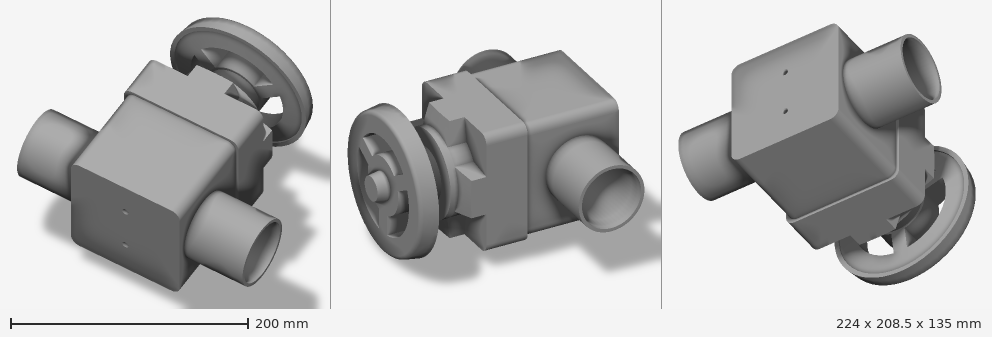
import cadquery as cq
import math


PIPE_LENGTH = 224.0
PIPE_RADIUS = 31.5
BORE_RADIUS = 28.5
WEIR_THICKNESS = 6.7

BODY_SIDE = 108.0
BODY_BOTTOM = -38.5
BONNET_SIDE = 113.8
BONNET_BOTTOM = 50.6
CORNER_RADIUS = 8.5
SCREW_SPACING = 44.4
SCREW_RADIUS = 2.2
SCREW_MOUTH_RADIUS = 3.1
SCREW_DEPTH = 11.2

ARM_BASE = 90.3
ARM_EDGE_TOP = 105.0
CORE_TOP = 108.6
CORE_RADIUS = 40.5
ARM_TIP_WIDTH = 36.3
ARM_TAPER = 9.0

COLLAR_TOP = 115.8
COLLAR_RADIUS = 41.0
STEM_RADIUS = 24.5

WHEEL_DIAMETER = 135.0
WHEEL_RADIUS = WHEEL_DIAMETER / 2
WHEEL_BOTTOM = 141.3
WHEEL_TOP = 158.5
WHEEL_DRAFT = 9.0
WHEEL_ROUND = 3.8
LIP_WIDTH = 4.3
HUB_BOTTOM = 136.0
HUB_RADIUS = 26.9
WEB_SLOPE = 11.3
WINDOW_RADIUS = 45.7
SPOKE_WIDTH = 13.5
SPOKE_ANGLES = (30, 150, 270)

KNOB_TOP = 170.0
KNOB_BOTTOM_RADIUS = 13.2
KNOB_TOP_RADIUS = 11.5


def across_y(y):
    """Workplane normal to +Y at height y, with its local x along +X."""
    return cq.Workplane("XZ", origin=(0, y, 0))


def rounded_block(side, bottom, top):
    block = across_y(bottom).rect(side, side).extrude(bottom - top)
    return block.edges("|Y").fillet(CORNER_RADIUS)


def cylinder(radius, bottom, top):
    return across_y(bottom).circle(radius).extrude(bottom - top)


def revolved(points):
    """Solid of revolution about Y from (radius, height) points."""
    return cq.Workplane("XY").polyline(points).close().revolve(360, (0, 0), (0, 1))


def arms():
    tip = BONNET_SIDE / 2
    tip_half = ARM_TIP_WIDTH / 2
    root_half = tip_half + tip * math.tan(math.radians(ARM_TAPER))
    outline = [(0, -root_half), (tip, -tip_half), (tip, tip_half), (0, root_half)]
    arm = across_y(ARM_BASE).polyline(outline).close().extrude(ARM_BASE - CORE_TOP)
    cross = cylinder(CORE_RADIUS, ARM_BASE, CORE_TOP)
    for angle in range(0, 360, 90):
        cross = cross.union(arm.rotate((0, 0, 0), (0, 1, 0), angle))

    slope = (CORE_TOP - ARM_EDGE_TOP) / (tip - CORE_RADIUS)
    limit_radius = BONNET_SIDE
    limit_height = CORE_TOP - slope * (limit_radius - CORE_RADIUS)
    cone = revolved([
        (0, 0), (limit_radius, 0), (limit_radius, limit_height),
        (CORE_RADIUS, CORE_TOP), (0, CORE_TOP),
    ])
    return cross.intersect(cone)


def wheel():
    top_radius = WHEEL_RADIUS - (WHEEL_TOP - WHEEL_BOTTOM) * math.tan(math.radians(WHEEL_DRAFT))
    lip_radius = WHEEL_RADIUS - LIP_WIDTH
    web_height = HUB_BOTTOM + (lip_radius - HUB_RADIUS) * math.tan(math.radians(WEB_SLOPE))
    disc = revolved([
        (0, HUB_BOTTOM), (HUB_RADIUS, HUB_BOTTOM), (lip_radius, web_height),
        (lip_radius, WHEEL_BOTTOM), (WHEEL_RADIUS, WHEEL_BOTTOM),
        (top_radius, WHEEL_TOP), (0, WHEEL_TOP),
    ])
    disc = disc.faces(">Y").edges().fillet(WHEEL_ROUND)

    height = WHEEL_TOP - HUB_BOTTOM
    windows = cylinder(WINDOW_RADIUS, HUB_BOTTOM, WHEEL_TOP)
    windows = windows.cut(cylinder(HUB_RADIUS, HUB_BOTTOM, WHEEL_TOP))
    for angle in SPOKE_ANGLES:
        spoke = cq.Workplane("XY").box(WHEEL_RADIUS, height, SPOKE_WIDTH, centered=(False, False, True))
        spoke = spoke.translate((0, HUB_BOTTOM, 0)).rotate((0, 0, 0), (0, 1, 0), -angle)
        windows = windows.cut(spoke)
    return disc.cut(windows)


result = rounded_block(BODY_SIDE, BODY_BOTTOM, BONNET_BOTTOM)
result = result.union(rounded_block(BONNET_SIDE, BONNET_BOTTOM, ARM_BASE))
pipe_end = cq.Workplane("YZ", origin=(-PIPE_LENGTH / 2, 0, 0))
result = result.union(pipe_end.circle(PIPE_RADIUS).extrude(PIPE_LENGTH))
result = result.cut(pipe_end.circle(BORE_RADIUS).extrude(PIPE_LENGTH))

weir = (
    cq.Workplane("YZ", origin=(-WEIR_THICKNESS / 2, 0, 0))
    .moveTo(0, PIPE_RADIUS)
    .threePointArc((-PIPE_RADIUS, 0), (0, -PIPE_RADIUS))
    .close()
    .extrude(WEIR_THICKNESS)
)
result = result.union(weir)

for z in (-SCREW_SPACING / 2, SCREW_SPACING / 2):
    hole = cylinder(SCREW_RADIUS, BODY_BOTTOM, BODY_BOTTOM + SCREW_DEPTH)
    mouth_depth = SCREW_MOUTH_RADIUS - SCREW_RADIUS
    hole = hole.union(revolved([
        (0, BODY_BOTTOM), (SCREW_MOUTH_RADIUS, BODY_BOTTOM),
        (SCREW_RADIUS, BODY_BOTTOM + mouth_depth), (0, BODY_BOTTOM + mouth_depth),
    ]))
    result = result.cut(hole.translate((0, 0, z)))

result = result.union(arms())
result = result.union(cylinder(COLLAR_RADIUS, CORE_TOP, COLLAR_TOP))
result = result.union(cylinder(STEM_RADIUS, COLLAR_TOP, HUB_BOTTOM))
result = result.union(wheel())
result = result.union(revolved([
    (0, WHEEL_TOP), (KNOB_BOTTOM_RADIUS, WHEEL_TOP), (KNOB_TOP_RADIUS, KNOB_TOP), (0, KNOB_TOP),
]))